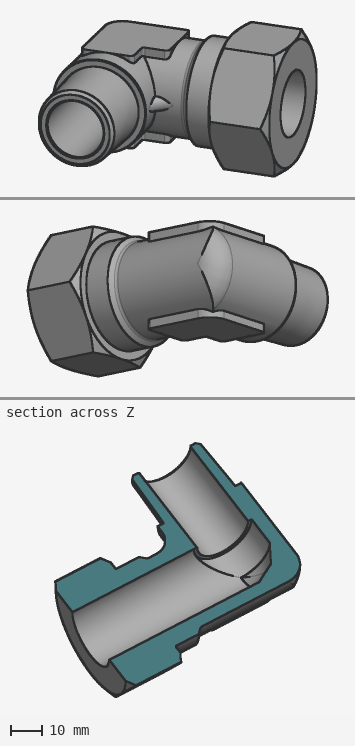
import cadquery as cq
import math

overall_length = 73.3
body_radius = 16.05
shoulder_distance = 25.0
shoulder_chamfer_length = 0.45
shoulder_chamfer_depth = 0.15
heel_fillet = body_radius / 2

stub_end_distance = 46.0
stub_root_radius = 13.7
taper_per_length = 1 / 32
stub_chamfer = 1.2

outlet_end_distance = overall_length - body_radius
collar_radius = 18.0
collar_cone_end = 27.4
collar_root_fillet = 1.5
collar_cone_angle = 45
nut_sides = 6
nut_across_flats = 42.0
nut_length = 21.0
nut_chamfer_angle = 30

inlet_bore_radius = 9.7
inlet_mouth_chamfer = 0.4
elbow_bore_radius = 11.0
bore_cone_half_angle = 30

pad_inlet_half_width = 9.0
pad_outlet_half_width = 9.5
pad_reach = 18.0
pad_heel_radius = 6.0
pad_corner_radius = 1.5
pad_inner_radius = 0.7

web_arc_radius = 6.0
web_half_thickness = 2.5


def along_x(radius, start, end):
    """Cylinder on the X axis between two X positions."""
    return cq.Workplane("YZ").workplane(offset=start).circle(radius).extrude(end - start)


def along_y(radius, start, end):
    """Cylinder on the Y axis between two Y positions."""
    return cq.Workplane("XZ").workplane(offset=-end).circle(radius).extrude(end - start)


def make_elbow():
    inlet_leg = along_y(body_radius, -shoulder_distance, 0)
    inlet_leg = inlet_leg.faces("<Y").chamfer(shoulder_chamfer_length, shoulder_chamfer_depth)
    outlet_leg = along_x(body_radius, 0, collar_cone_end)
    heel = along_y(body_radius, 0, body_radius).faces(">Y").edges().fillet(heel_fillet)
    heel = heel.intersect(along_x(body_radius, -body_radius, body_radius))
    return inlet_leg.union(outlet_leg).union(heel)


def make_stub():
    chamfer_distance = stub_end_distance - stub_chamfer
    tip_radius = stub_root_radius - (chamfer_distance - shoulder_distance) * taper_per_length
    profile = [
        (0, 0),
        (stub_root_radius, 0),
        (stub_root_radius, -shoulder_distance),
        (tip_radius, -chamfer_distance),
        (tip_radius - stub_chamfer, -stub_end_distance),
        (0, -stub_end_distance),
    ]
    return cq.Workplane("XY").polyline(profile).close().revolve(360, (0, 0, 0), (0, 1, 0))


def make_collar():
    cone_angle = math.radians(collar_cone_angle)
    cone_foot = collar_cone_end - (collar_radius - body_radius) / math.tan(cone_angle)
    half_turn = cone_angle / 2
    tangent_length = collar_root_fillet * math.tan(half_turn)
    fillet_start = cone_foot - tangent_length
    fillet_middle = (
        fillet_start + collar_root_fillet * math.sin(half_turn),
        body_radius + collar_root_fillet * (1 - math.cos(half_turn)),
    )
    fillet_end = (
        cone_foot + tangent_length * math.cos(cone_angle),
        body_radius + tangent_length * math.sin(cone_angle),
    )
    return (
        cq.Workplane("XY")
        .moveTo(0, 0)
        .lineTo(0, body_radius)
        .lineTo(fillet_start, body_radius)
        .threePointArc(fillet_middle, fillet_end)
        .lineTo(collar_cone_end, collar_radius)
        .lineTo(outlet_end_distance, collar_radius)
        .lineTo(outlet_end_distance, 0)
        .close()
        .revolve(360, (0, 0, 0), (1, 0, 0))
    )


def make_nut():
    flat_radius = nut_across_flats / 2
    corner_radius = flat_radius / math.cos(math.pi / nut_sides)
    nut_start = outlet_end_distance - nut_length
    chamfer_length = (corner_radius - flat_radius) * math.tan(math.radians(nut_chamfer_angle))
    prism = (
        cq.Workplane("YZ")
        .workplane(offset=nut_start)
        .polygon(nut_sides, 2 * corner_radius)
        .extrude(nut_length)
    )
    blank = (
        cq.Workplane("XY")
        .polyline([
            (nut_start, 0),
            (nut_start, flat_radius),
            (nut_start + chamfer_length, corner_radius),
            (outlet_end_distance - chamfer_length, corner_radius),
            (outlet_end_distance, flat_radius),
            (outlet_end_distance, 0),
        ])
        .close()
        .revolve(360, (0, 0, 0), (1, 0, 0))
    )
    return prism.intersect(blank)


def make_pads():
    outline = [
        (-pad_inlet_half_width, pad_outlet_half_width),
        (pad_reach, pad_outlet_half_width),
        (pad_reach, -pad_outlet_half_width),
        (pad_inlet_half_width, -pad_outlet_half_width),
        (pad_inlet_half_width, -pad_reach),
        (-pad_inlet_half_width, -pad_reach),
    ]

    def corner(point):
        return cq.selectors.NearestToPointSelector((*point, 0))

    block = (
        cq.Workplane("XY")
        .polyline(outline)
        .close()
        .extrude(body_radius, both=True)
    )
    block = block.edges("|Z").edges(corner(outline[0])).fillet(pad_heel_radius)
    block = block.edges("|Z").edges(corner(outline[3])).fillet(pad_inner_radius)
    for point in (outline[1], outline[2], outline[4], outline[5]):
        block = block.edges("|Z").edges(corner(point)).fillet(pad_corner_radius)
    return block


def make_web():
    arc_centre = body_radius + web_arc_radius
    ring_radius = web_arc_radius + web_half_thickness
    return (
        cq.Workplane("XZ", origin=(arc_centre, -arc_centre, 0))
        .center(-ring_radius, 0)
        .circle(web_half_thickness)
        .revolve(90, (ring_radius, 0, 0), (ring_radius, -1, 0))
    )


def axis_cone(base_radius, tip_radius, length, start, direction):
    return cq.Workplane(cq.Solid.makeCone(
        base_radius, tip_radius, length, cq.Vector(*start), cq.Vector(*direction),
    ))


def make_bore_corner():
    length = elbow_bore_radius / math.tan(math.radians(bore_cone_half_angle))
    outlet_cone = axis_cone(elbow_bore_radius, 0, length, (0, 0, 0), (-1, 0, 0))
    inlet_cone = axis_cone(elbow_bore_radius, 0, length, (0, 0, 0), (0, 1, 0))

    def wedge(side_point):
        outline = [(0, 0), side_point, (-length, length)]
        return cq.Workplane("XY").polyline(outline).close().extrude(elbow_bore_radius, both=True)

    outlet_side = outlet_cone.intersect(wedge((0, length)))
    inlet_side = inlet_cone.intersect(wedge((-length, 0)))
    return outlet_side.union(inlet_side)


def make_bores():
    outlet_bore = along_x(elbow_bore_radius, 0, outlet_end_distance)
    elbow_bore = along_y(elbow_bore_radius, -elbow_bore_radius, 0)
    inlet_bore = along_y(inlet_bore_radius, -stub_end_distance, 0)
    mouth_radius = inlet_bore_radius + inlet_mouth_chamfer
    mouth_start = (0, -stub_end_distance, 0)
    mouth = axis_cone(mouth_radius, inlet_bore_radius, inlet_mouth_chamfer, mouth_start, (0, 1, 0))
    return outlet_bore.union(elbow_bore).union(inlet_bore).union(mouth).union(make_bore_corner())


solid_part = (
    make_elbow()
    .union(make_collar())
    .union(make_nut())
    .union(make_stub())
    .union(make_pads())
    .union(make_web())
)
result = solid_part.cut(make_bores())